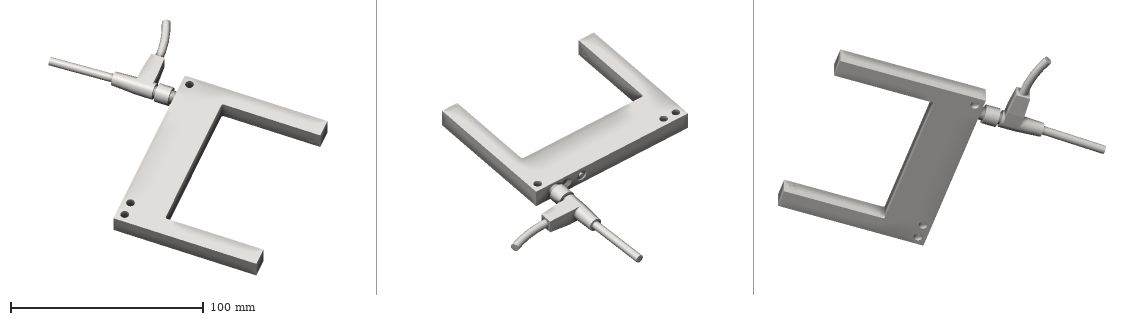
import cadquery as cq
import math


housing_length = 80.0
housing_width = 100.0
housing_height = 10.0
arm_width = 10.0
bridge_width = 25.0
inner_corner_radius = 1.0

mount_hole_diameter = 4.5
mount_hole_inset = 4.5
mount_hole_pitch = 8.1

window_diameter = 5.0
window_end_distance = 5.0
window_depth = 0.2

adjuster_diameter = 6.5
adjuster_depth = 3.0
adjuster_hole_diameter = 2.0
adjuster_hole_depth = 4.0
adjuster_offset = 20.0
indicator_diameter = 6.0
indicator_depth = 1.0
lamp_diameter = 2.5
indicator_offset = 30.0

axis_y = housing_width - 12.0
stub_diameter = 7.0
stub_length = 2.9
ring_diameter = housing_height
ring_length = 7.7
neck_diameter = 6.2
neck_length = 1.5

plug_diameter = 9.0
plug_cylinder_length = 9.8
plug_cone_length = 13.2
plug_end_diameter = 7.5
cable_diameter = 4.5
straight_cable_tilt = 3.0
straight_cable_reach = 70.1

angled_plug_x = -18.0
angled_block_length = 7.8
angled_tail_length = 11.9
angled_tail_end_width = 7.5
angled_cable_bend_radius = 60.1
angled_cable_reach_y = 133.1

cable_radius = cable_diameter / 2
plug_front_x = -(stub_length + ring_length + neck_length)
cone_start_x = plug_front_x - plug_cylinder_length
plug_back_x = cone_start_x - plug_cone_length
block_end_y = axis_y + angled_block_length
tail_end_y = block_end_y + angled_tail_length


def cylinder_x(x_start, y, diameter, length):
    """Cylinder along X; a negative length runs towards -X."""
    return cq.Workplane("YZ", origin=(x_start, y, 0)).circle(diameter / 2).extrude(length)


def make_mount_holes():
    places = [
        (mount_hole_inset, mount_hole_inset),
        (mount_hole_inset, mount_hole_inset + mount_hole_pitch),
        (mount_hole_inset, housing_width - mount_hole_inset),
    ]
    return (
        cq.Workplane("XY", origin=(0, 0, -housing_height / 2))
        .pushPoints(places)
        .circle(mount_hole_diameter / 2)
        .extrude(housing_height)
    )


def make_window_recesses():
    """One cutter reaching across the gap and slightly into both arms."""
    gap = housing_width - 2 * arm_width
    window_x = housing_length - window_end_distance
    return (
        cq.Workplane("XZ", origin=(window_x, housing_width / 2, 0))
        .circle(window_diameter / 2)
        .extrude(gap / 2 + window_depth, both=True)
    )


def make_housing():
    body = cq.Workplane("XY").box(
        housing_length, housing_width, housing_height, centered=(False, False, True)
    )
    gap = (
        cq.Workplane("XY", origin=(bridge_width, arm_width, 0))
        .box(
            housing_length - bridge_width,
            housing_width - 2 * arm_width,
            housing_height,
            centered=(False, False, True),
        )
        .edges("|Z and <X")
        .fillet(inner_corner_radius)
    )
    adjuster_y = housing_width - adjuster_offset
    adjuster_hole = cylinder_x(0, adjuster_y, adjuster_hole_diameter, adjuster_hole_depth)
    adjuster = cylinder_x(0, adjuster_y, adjuster_diameter, adjuster_depth).union(adjuster_hole)
    indicator_y = housing_width - indicator_offset
    lamp = cylinder_x(0, indicator_y, lamp_diameter, indicator_depth)
    indicator = cylinder_x(0, indicator_y, indicator_diameter, indicator_depth).cut(lamp)
    return (
        body.cut(gap)
        .cut(make_mount_holes())
        .cut(make_window_recesses())
        .cut(adjuster)
        .cut(indicator)
    )


def make_connector():
    """Stub against the housing, coupling ring, and neck against the plug."""
    stub = cylinder_x(0, axis_y, stub_diameter, -stub_length)
    ring = cylinder_x(-stub_length, axis_y, ring_diameter, -ring_length)
    neck = cylinder_x(-stub_length - ring_length, axis_y, neck_diameter, -neck_length)
    return stub.union(ring).union(neck)


def make_straight_plug():
    barrel = cylinder_x(plug_front_x, axis_y, plug_diameter, -plug_cylinder_length)
    cone = (
        cq.Workplane("YZ", origin=(cone_start_x, axis_y, 0))
        .circle(plug_diameter / 2)
        .workplane(offset=-plug_cone_length)
        .circle(plug_end_diameter / 2)
        .loft(ruled=True)
    )
    tilt = math.radians(straight_cable_tilt)
    free_length = (straight_cable_reach + plug_back_x - cable_radius * math.sin(tilt)) / math.cos(tilt)
    cable = (
        cylinder_x(plug_back_x + cable_diameter, axis_y, cable_diameter, -free_length - cable_diameter)
        .rotate((plug_back_x, axis_y, 0), (plug_back_x, axis_y, 1), straight_cable_tilt)
    )
    return barrel.union(cone).union(cable)


def make_angled_cable():
    """Cable leaving the tail along +Y and bending towards -X."""
    bend = math.asin((angled_cable_reach_y - tail_end_y) / (angled_cable_bend_radius + cable_radius))
    return (
        cq.Workplane("XZ", origin=(angled_plug_x, tail_end_y, 0))
        .circle(cable_radius)
        .revolve(
            math.degrees(bend),
            (-angled_cable_bend_radius, 0, 0),
            (-angled_cable_bend_radius, 1, 0),
        )
    )


def make_angled_plug(straight_plug):
    """Block that saddles the straight plug, with a tapered tail and a bent cable."""
    block = cq.Workplane("XY", origin=(angled_plug_x, axis_y, 0)).box(
        plug_diameter, angled_block_length, plug_diameter, centered=(True, False, True)
    )
    tail = (
        cq.Workplane("XZ", origin=(angled_plug_x, block_end_y, 0))
        .rect(plug_diameter, plug_diameter)
        .workplane(offset=-angled_tail_length)
        .rect(angled_tail_end_width, angled_tail_end_width)
        .loft(ruled=True)
    )
    return block.union(tail).cut(straight_plug).union(make_angled_cable())


housing = make_housing()
connector = make_connector()
straight_plug = make_straight_plug()
angled_plug = make_angled_plug(straight_plug)

result = cq.Compound.makeCompound(
    [
        housing.solids().val(),
        connector.solids().val(),
        straight_plug.solids().val(),
        angled_plug.solids().val(),
    ]
)